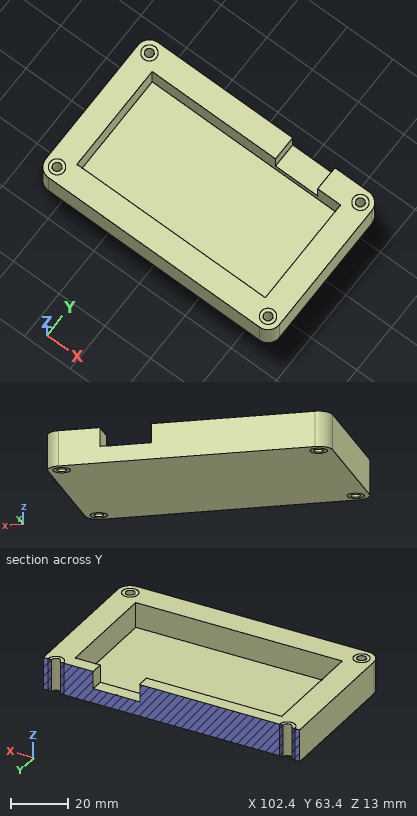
import cadquery as cq

LENGTH = 102.4
WIDTH = 63.4
HEIGHT = 13.0
CORNER_RADIUS = 5.0

WALL = 9.99
FLOOR = 3.0

NOTCH_WIDTH = 18.4
NOTCH_CENTER_X = 22.0
NOTCH_FLOOR_Z = 6.0

INSERT_DIAMETER = 6.0
BORE_DIAMETER = 3.4
INSERT_X = LENGTH / 2 - CORNER_RADIUS
INSERT_Y = WIDTH / 2 - CORNER_RADIUS
INSERT_POINTS = [(sx * INSERT_X, sy * INSERT_Y) for sx in (-1, 1) for sy in (-1, 1)]


def box_on(z, length, width, height):
    """Box centred in X and Y with its underside at z."""
    return cq.Workplane("XY", origin=(0, 0, z)).rect(length, width).extrude(height)


def make_housing():
    block = box_on(0, LENGTH, WIDTH, HEIGHT).edges("|Z").fillet(CORNER_RADIUS)
    pocket = box_on(FLOOR, LENGTH - 2 * WALL, WIDTH - 2 * WALL, HEIGHT - FLOOR)
    notch = box_on(NOTCH_FLOOR_Z, NOTCH_WIDTH, WALL, HEIGHT - NOTCH_FLOOR_Z).translate(
        (NOTCH_CENTER_X, (WIDTH - WALL) / 2, 0)
    )
    insert_holes = cq.Workplane("XY").pushPoints(INSERT_POINTS).circle(INSERT_DIAMETER / 2).extrude(HEIGHT)
    return block.cut(pocket).cut(notch).cut(insert_holes)


def make_insert(x, y):
    ring = cq.Workplane("XY").circle(INSERT_DIAMETER / 2).circle(BORE_DIAMETER / 2)
    return ring.extrude(HEIGHT).translate((x, y, 0))


housing = make_housing()
inserts = [make_insert(x, y) for x, y in INSERT_POINTS]

result = cq.Compound.makeCompound([housing.val(), *[insert.val() for insert in inserts]])